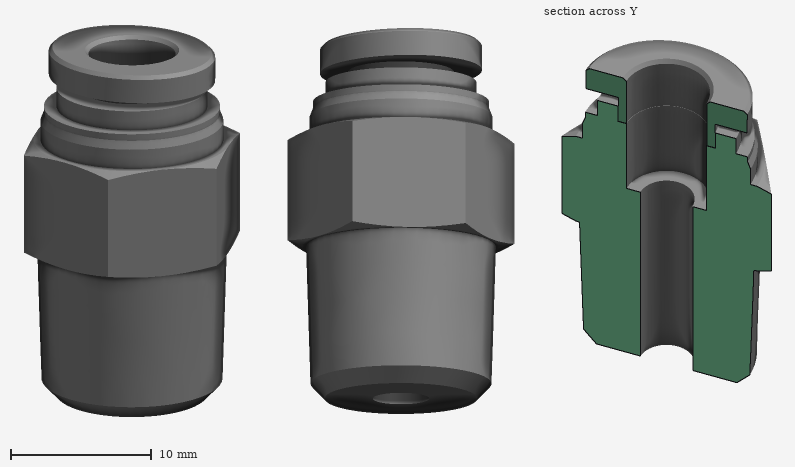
import cadquery as cq
import math

overall_height = 25.7
thread_chamfer_top = 1.08
hex_bottom = 11.0
hex_top = 19.0
shoulder_top = 20.43
ring_bottom = 21.02
ring_top = 21.5
collar_top = 22.92
head_bottom = 23.7

hex_across_flats = 14.0
hex_across_corners = hex_across_flats / math.cos(math.pi / 6)
hex_chamfer_height = 0.35
thread_end_diameter = 10.85
thread_large_diameter = 13.5
thread_taper = 1 / 16
thread_small_diameter = thread_large_diameter - thread_taper * (hex_bottom - thread_chamfer_top)
shoulder_diameter = 13.0
ring_diameter = 12.55
collar_diameter = 10.75
flow_diameter = 4.0
tube_socket_diameter = 6.15
tube_stop = 15.42

sleeve_diameter = 7.5
sleeve_bore_diameter = 6.2
sleeve_bottom = ring_top
head_length = 12.46
head_width = 11.03
head_chamfer = 0.25
bore_chamfer = 0.25


def cylinder(diameter, bottom, top):
    return cq.Workplane("XY").workplane(offset=bottom).circle(diameter / 2).extrude(top - bottom)


def revolved(profile):
    """Turn a closed (radius, height) outline around the Z axis."""
    return cq.Workplane("XZ").polyline(profile).close().revolve(360, (0, 0, 0), (0, 1, 0))


def make_hexagon():
    """Hexagonal prism whose corners are turned down to a cone at both ends."""
    prism = (
        cq.Workplane("XY")
        .workplane(offset=hex_bottom)
        .polygon(6, hex_across_corners)
        .extrude(hex_top - hex_bottom)
    )
    end_radius = hex_across_flats / 2
    corner_radius = hex_across_corners / 2
    corner_turning = revolved([
        (0, hex_bottom),
        (end_radius, hex_bottom),
        (corner_radius, hex_bottom + hex_chamfer_height),
        (corner_radius, hex_top - hex_chamfer_height),
        (end_radius, hex_top),
        (0, hex_top),
    ])
    return prism.intersect(corner_turning)


def make_thread():
    """Plain tapered shank with a chamfered end."""
    return revolved([
        (0, 0),
        (thread_end_diameter / 2, 0),
        (thread_small_diameter / 2, thread_chamfer_top),
        (thread_large_diameter / 2, hex_bottom),
        (0, hex_bottom),
    ])


def make_shoulder():
    """Round steps above the hexagon, narrowing towards the collar."""
    return revolved([
        (0, hex_top),
        (shoulder_diameter / 2, hex_top),
        (shoulder_diameter / 2, shoulder_top),
        (ring_diameter / 2, ring_bottom),
        (ring_diameter / 2, ring_top),
        (collar_diameter / 2, ring_top),
        (collar_diameter / 2, collar_top),
        (0, collar_top),
    ])


def make_fitting_body():
    body = make_hexagon().union(make_thread()).union(make_shoulder())
    flow_passage = cylinder(flow_diameter, 0, collar_top)
    tube_socket = cylinder(tube_socket_diameter, tube_stop, collar_top)
    sleeve_seat = cylinder(sleeve_diameter, sleeve_bottom, collar_top)
    return body.cut(flow_passage).cut(tube_socket).cut(sleeve_seat)


def make_release_sleeve():
    """Tubular sleeve under an oval push head."""
    head = (
        cq.Workplane("XY")
        .workplane(offset=head_bottom)
        .ellipse(head_length / 2, head_width / 2)
        .extrude(overall_height - head_bottom)
        .faces(">Z")
        .chamfer(head_chamfer)
    )
    neck = cylinder(sleeve_diameter, sleeve_bottom, head_bottom)
    bore = cylinder(sleeve_bore_diameter, sleeve_bottom, overall_height)
    bored = head.union(neck).cut(bore)
    return bored.faces(">Z").edges(cq.selectors.RadiusNthSelector(0)).chamfer(bore_chamfer)


fitting_body = make_fitting_body()
release_sleeve = make_release_sleeve()

result = cq.Compound.makeCompound([fitting_body.val(), release_sleeve.val()])